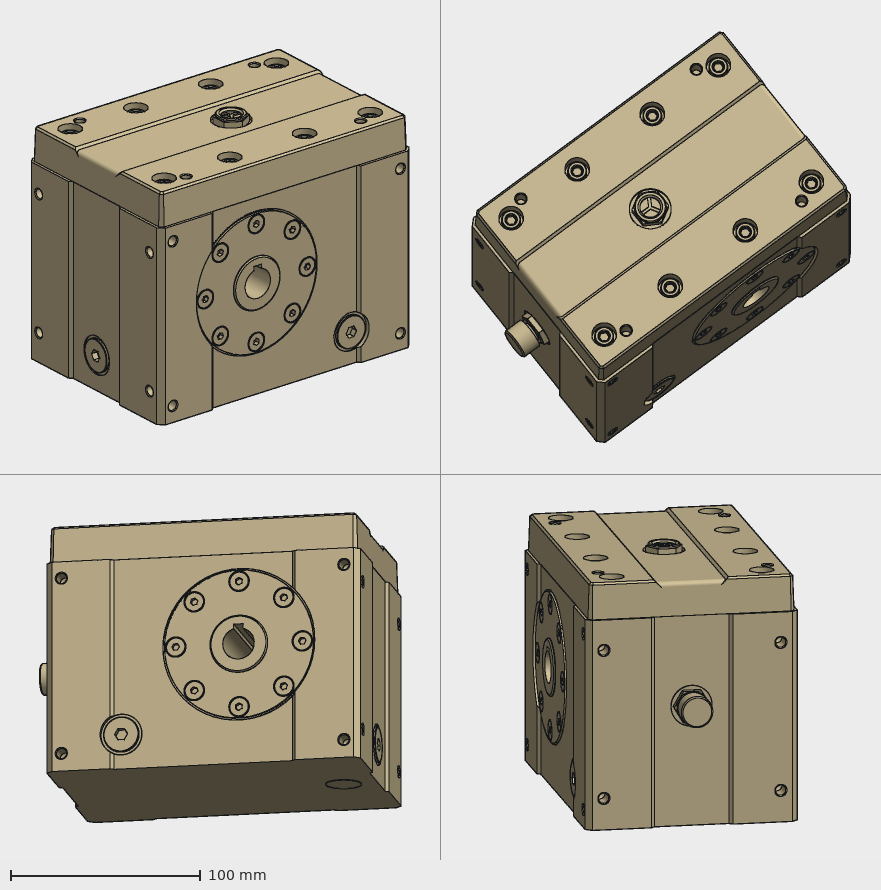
import cadquery as cq
import math


TOTAL_HEIGHT = 136.0
TOTAL_LENGTH = 182.0

HOUSING_X = 114.0
HOUSING_Y = 168.5
HOUSING_TOP = 114.0
HOUSING_BOTTOM = 0.4
HALF_X = HOUSING_X / 2
HALF_Y = HOUSING_Y / 2
MID_Z = 57.5
CORNER_CHAMFER = 3.3
RECESS_DEPTH = 1.8
END_RECESS_HALF = 20.0
SIDE_RECESS_HALF = 47.9

COVER_TOP = 133.5
COVER_INSET = 1.6
COVER_DRAFT = 2.0
COVER_CORNER = 2.0
COVER_EDGE = 1.1
GROOVE_HALF = 20.0
GROOVE_DEPTH = 1.5
GROOVE_END_RADIUS = 2.5

SHAFT_Y = -19.3
SHAFT_Z = 65.0
FACE_SETBACK = 1.1
POCKET_DEPTH = 2.5
FLANGE_DIA = 80.0
FLANGE_POCKET_DIA = 82.0
HUB_DIA = 31.0
HUB_CHAMFER = 0.7
BORE_DIA = 17.0
KEYWAY_WIDTH = 5.1
KEYWAY_TOP = 10.5
FLANGE_SCREW_COUNT = 8
FLANGE_SCREW_RADIUS = 34.0
FLANGE_HEAD_DIA = 10.0
FLANGE_SINK_DIA = 11.0
FLANGE_SINK_DEPTH = 1.0
FLANGE_SOCKET_CORNERS = 4.0
FLANGE_SOCKET_DEPTH = 2.7

PLUG_DIA = 19.0
PLUG_POCKET_DIA = 22.0
PLUG_CHAMFER = 0.4
PLUG_SOCKET_CORNERS = 7.0
PLUG_SOCKET_DEPTH = 3.6
FRONT_PLUG_Z = 20.7
SIDE_PLUG_Z = 19.1
SIDE_PLUG_Y = 44.0
BOTTOM_PLUG_Y = -64.2

TAP_DIA = 5.5
TAP_MOUTH_DIA = 6.5
TAP_DEPTH = 11.0
END_TAP_X = 47.5
END_TAP_RISE = 40.0
SIDE_TAP_Y = 75.9
SIDE_TAP_RISE = 47.5

SCREW_X = 40.2
SCREW_YS = (-68.8, -25.0, 25.0, 68.8)
SCREW_BORE_DIA = 13.0
SCREW_BORE_DEPTH = 7.6
SCREW_HEAD_DIA = 10.0
SCREW_HEAD_HEIGHT = 5.0
SCREW_HEAD_CHAMFER = 0.4
SCREW_MOUTH_DIA = 6.5
SCREW_SOCKET_CORNERS = 5.5
SCREW_SOCKET_DEPTH = 3.0
COVER_TAP_X = 45.5
COVER_TAP_Y = 58.2

HEX_FLATS = 17.0
HEX_CORNERS = HEX_FLATS / math.cos(math.pi / 6)
CROWN_CHAMFER = 0.5
BREATHER_CROWN = 1.5
VENT_CROWN = 0.7
BREATHER_Y = 7.3
BREATHER_SEAT = 130.3
EYE_DIA = 11.0
EYE_DEPTH = 1.8
EYE_CHAMFER = 1.0
SPOKE_WIDTH = 1.6
VENT_HEX_START = HALF_Y - POCKET_DEPTH
VENT_HEX_END = 85.7
CAP_START = 87.4
CAP_END = TOTAL_LENGTH - HALF_Y
CAP_DIA = 17.0
CAP_CHAMFER = 0.7
NECK_DIA = 11.0

CORNER_SIGNS = ((1, 1), (-1, 1), (-1, -1), (1, -1))


def side_plane(side, y, z, setback=0.0):
    """Outward plane at or below the pads of the -X / +X side, local x along +Y."""
    return cq.Workplane(cq.Plane((side * (HALF_X - setback), y, z), (0, 1, 0), (side, 0, 0)))


def end_plane(end, x, z, setback=0.0):
    """Outward plane at or below the pads of the front (-1) or back (+1), local x along +X."""
    return cq.Workplane(cq.Plane((x, end * (HALF_Y - setback), z), (1, 0, 0), (0, end, 0)))


def level(x, y, z):
    return cq.Workplane("XY", origin=(x, y, z))


def hexagon(plane, corners, height):
    return plane.polygon(6, corners).extrude(height)


def crowned_hexagon(plane, height, crown_height):
    """Wrench hexagon ending in a round crown with a chamfered rim."""
    crown = plane.workplane(offset=height - crown_height).circle(HEX_FLATS / 2).extrude(crown_height)
    body = hexagon(plane, HEX_CORNERS, height - crown_height)
    return body.union(crown.faces(">Z").chamfer(CROWN_CHAMFER))


def chamfered_hole(plane):
    """Flat-bottomed blind hole cutter with a 45 degree mouth."""
    mouth_depth = (TAP_MOUTH_DIA - TAP_DIA) / 2
    hole = plane.circle(TAP_DIA / 2).extrude(-TAP_DEPTH)
    mouth = plane.circle(TAP_MOUTH_DIA / 2).extrude(-mouth_depth, taper=45)
    return hole.union(mouth)


def tapped_hole(plane):
    """Chamfered hole cutter with a drill point added at its end."""
    inward = plane.plane.zDir * -1
    tip_start = plane.plane.origin + inward * TAP_DEPTH
    tip_length = TAP_DIA / 2 * math.tan(math.radians(30))
    tip = cq.Solid.makeCone(TAP_DIA / 2, 0, tip_length, tip_start, inward)
    return chamfered_hole(plane).union(tip)


def housing():
    """Box with chamfered corner pads and a full-height recess on each side."""
    outline = []
    for sx, sy in CORNER_SIGNS:
        corner = [
            (HALF_X - RECESS_DEPTH, SIDE_RECESS_HALF),
            (HALF_X, SIDE_RECESS_HALF + RECESS_DEPTH),
            (HALF_X, HALF_Y - CORNER_CHAMFER),
            (HALF_X - CORNER_CHAMFER, HALF_Y),
            (END_RECESS_HALF + RECESS_DEPTH, HALF_Y),
            (END_RECESS_HALF, HALF_Y - RECESS_DEPTH),
        ]
        if sx * sy < 0:
            corner.reverse()
        outline += [(sx * x, sy * y) for x, y in corner]
    body = level(0, 0, HOUSING_BOTTOM).polyline(outline).close().extrude(HOUSING_TOP - HOUSING_BOTTOM)

    for sign_a, sign_b in CORNER_SIGNS:
        for face in (-1, 1):
            end_hole = end_plane(face, sign_a * END_TAP_X, MID_Z + sign_b * END_TAP_RISE)
            side_hole = side_plane(face, sign_a * SIDE_TAP_Y, MID_Z + sign_b * SIDE_TAP_RISE)
            body = body.cut(tapped_hole(end_hole)).cut(tapped_hole(side_hole))
    return body


def cover():
    """Drafted lid with a shallow lengthwise groove, screws and tapped holes."""
    length = HOUSING_Y - 2 * COVER_INSET
    width = HOUSING_X - 2 * COVER_INSET
    outline = cq.Sketch().rect(width, length).vertices().chamfer(COVER_CORNER)
    lid = (
        level(0, 0, HOUSING_TOP)
        .placeSketch(outline)
        .extrude(COVER_TOP - HOUSING_TOP, taper=COVER_DRAFT)
        .faces(">Z")
        .chamfer(COVER_EDGE)
    )
    lid = lid.cut(groove())
    for side in (-1, 1):
        for y in SCREW_YS:
            bore = level(side * SCREW_X, y, COVER_TOP - SCREW_BORE_DEPTH)
            lid = lid.cut(bore.circle(SCREW_BORE_DIA / 2).extrude(SCREW_BORE_DEPTH))
            head = bore.circle(SCREW_HEAD_DIA / 2).extrude(SCREW_HEAD_HEIGHT)
            lid = lid.union(head.faces(">Z").chamfer(SCREW_HEAD_CHAMFER))
            socket = bore.workplane(offset=SCREW_HEAD_HEIGHT)
            mouth_depth = (SCREW_MOUTH_DIA - SCREW_SOCKET_CORNERS) / 2
            lid = lid.cut(socket.circle(SCREW_MOUTH_DIA / 2).extrude(-mouth_depth, taper=45))
            lid = lid.cut(hexagon(socket, SCREW_SOCKET_CORNERS, -SCREW_SOCKET_DEPTH))
    for sign_x, sign_y in CORNER_SIGNS:
        lid = lid.cut(chamfered_hole(level(sign_x * COVER_TAP_X, sign_y * COVER_TAP_Y, COVER_TOP)))
    return lid


def groove():
    """Groove cutter: 45 degree flanks, with the floor rounded down at both ends."""
    depth = GROOVE_DEPTH + GROOVE_END_RADIUS
    channel = (
        cq.Workplane("XZ", origin=(0, HALF_Y, COVER_TOP))
        .polyline([
            (-GROOVE_HALF, 0),
            (GROOVE_HALF, 0),
            (GROOVE_HALF - depth, -depth),
            (-GROOVE_HALF + depth, -depth),
        ])
        .close()
        .extrude(HOUSING_Y)
    )
    wall_inset = (COVER_TOP - depth - HOUSING_TOP) * math.tan(math.radians(COVER_DRAFT))
    floor_length = HOUSING_Y - 2 * (COVER_INSET + wall_inset)
    floor = (
        level(0, 0, COVER_TOP - GROOVE_DEPTH)
        .rect(2 * GROOVE_HALF, floor_length)
        .extrude(-2 * GROOVE_END_RADIUS)
        .edges(">Z and |X")
        .fillet(GROOVE_END_RADIUS)
    )
    return channel.cut(floor)


def add_plug(body, pad_plane, face_plane):
    """Flush plug with a hexagon socket, standing in a round pocket."""
    body = body.cut(pad_plane.circle(PLUG_POCKET_DIA / 2).extrude(-POCKET_DEPTH))
    plug_height = POCKET_DEPTH - FACE_SETBACK
    seat = face_plane.workplane(offset=-plug_height)
    plug = seat.circle(PLUG_DIA / 2).extrude(plug_height)
    outer_face = plug.faces(cq.selectors.DirectionMinMaxSelector(face_plane.plane.zDir))
    body = body.union(outer_face.chamfer(PLUG_CHAMFER))
    return body.cut(hexagon(face_plane, PLUG_SOCKET_CORNERS, -PLUG_SOCKET_DEPTH))


def add_plugs(body):
    body = add_plug(body, end_plane(-1, 0, FRONT_PLUG_Z), end_plane(-1, 0, FRONT_PLUG_Z, FACE_SETBACK))
    for side in (-1, 1):
        pad = side_plane(side, SIDE_PLUG_Y, SIDE_PLUG_Z)
        body = add_plug(body, pad, side_plane(side, SIDE_PLUG_Y, SIDE_PLUG_Z, FACE_SETBACK))
    bottom_plug = level(0, BOTTOM_PLUG_Y, 0).circle(PLUG_DIA / 2).extrude(HOUSING_BOTTOM)
    return body.union(bottom_plug)


def add_flange(body, side):
    pad = side_plane(side, SHAFT_Y, SHAFT_Z)
    face = side_plane(side, SHAFT_Y, SHAFT_Z, FACE_SETBACK)
    seat = side_plane(side, SHAFT_Y, SHAFT_Z, POCKET_DEPTH)
    body = body.cut(pad.circle(FLANGE_POCKET_DIA / 2).extrude(-POCKET_DEPTH))
    body = body.union(seat.circle(FLANGE_DIA / 2).extrude(POCKET_DEPTH - FACE_SETBACK))
    hub = seat.circle(HUB_DIA / 2).extrude(POCKET_DEPTH)
    body = body.union(hub.faces(">X" if side > 0 else "<X").chamfer(HUB_CHAMFER))

    def heads():
        return face.polarArray(FLANGE_SCREW_RADIUS, 0, 360, FLANGE_SCREW_COUNT)

    gaps = heads().circle(FLANGE_SINK_DIA / 2).circle(FLANGE_HEAD_DIA / 2).extrude(-FLANGE_SINK_DEPTH)
    body = body.cut(gaps)
    return body.cut(hexagon(heads(), FLANGE_SOCKET_CORNERS, -FLANGE_SOCKET_DEPTH))


def shaft_bore():
    """Through bore with a keyway on its upper side."""
    start = cq.Workplane("YZ", origin=(-HALF_X, SHAFT_Y, SHAFT_Z))
    bore = start.circle(BORE_DIA / 2).extrude(HOUSING_X)
    keyway = start.center(0, KEYWAY_TOP / 2).rect(KEYWAY_WIDTH, KEYWAY_TOP).extrude(HOUSING_X)
    return bore.union(keyway)


def add_breather(body):
    """Hexagon breather in a round seat of the cover, with a three-spoked eye."""
    seat = level(0, BREATHER_Y, BREATHER_SEAT)
    body = body.cut(seat.circle(PLUG_POCKET_DIA / 2).extrude(COVER_TOP - BREATHER_SEAT))
    height = TOTAL_HEIGHT - BREATHER_SEAT
    breather = crowned_hexagon(seat, height, BREATHER_CROWN)
    eye_floor = seat.workplane(offset=height - EYE_DEPTH)
    eye = eye_floor.circle(EYE_DIA / 2).extrude(EYE_DEPTH)
    mouth = (
        eye_floor.workplane(offset=EYE_DEPTH)
        .circle(EYE_DIA / 2 + EYE_CHAMFER)
        .extrude(-EYE_CHAMFER, taper=45)
    )
    breather = breather.cut(eye).cut(mouth)
    for angle in (90, 210, 330):
        spoke = eye_floor.transformed(rotate=(0, 0, angle)).center(EYE_DIA / 4, 0)
        breather = breather.union(spoke.rect(EYE_DIA / 2, SPOKE_WIDTH).extrude(EYE_DEPTH - EYE_CHAMFER))
    return body.union(breather)


def add_vent(body):
    """Hexagon, neck and round cap on the back, level with the shaft axis."""
    pad = end_plane(1, 0, SHAFT_Z)
    body = body.cut(pad.circle(PLUG_POCKET_DIA / 2).extrude(-POCKET_DEPTH))
    upright = level(0, 0, VENT_HEX_START)
    vent = crowned_hexagon(upright, VENT_HEX_END - VENT_HEX_START, VENT_CROWN)
    vent = vent.union(level(0, 0, VENT_HEX_END).circle(NECK_DIA / 2).extrude(CAP_START - VENT_HEX_END))
    cap = level(0, 0, CAP_START).circle(CAP_DIA / 2).extrude(CAP_END - CAP_START)
    vent = vent.union(cap.faces(">Z").chamfer(CAP_CHAMFER))
    vent = vent.rotate((0, 0, 0), (1, 0, 0), -90).translate((0, 0, SHAFT_Z))
    return body.union(vent)


result = housing().union(cover())
result = add_plugs(result)
for shaft_side in (-1, 1):
    result = add_flange(result, shaft_side)
result = result.cut(shaft_bore())
result = add_breather(result)
result = add_vent(result)